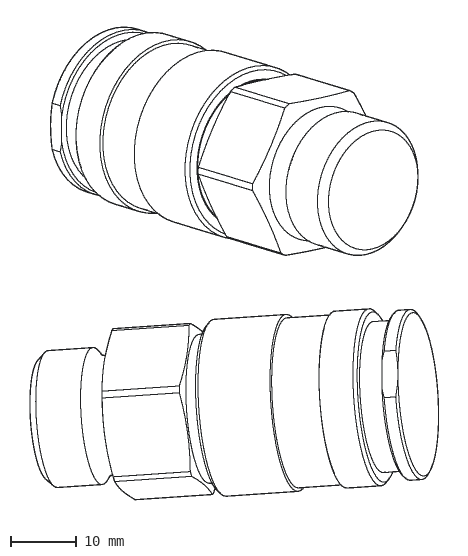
import cadquery as cq
import math


TOTAL_LENGTH = 58.75

FLANGE_DIAMETER = 26.0
FLANGE_LENGTH = 2.5
FLANGE_FRONT_CHAMFER_LENGTH = 0.35
FLANGE_FRONT_CHAMFER_DEPTH = 0.5
FLANGE_REAR_CHAMFER = 0.35
FLANGE_FLAT_WIDTH = 24.95

SHANK_DIAMETER = 23.1
NECK_DIAMETER = 22.8

SLEEVE_START = 6.3
SLEEVE_END = 31.7
SLEEVE_DIAMETER = 27.1
SLEEVE_CHAMFER = 0.5
GROOVE_START = 12.15
GROOVE_END = 19.85
GROOVE_DIAMETER = 26.0
GROOVE_WALL_SLOPE = 0.1

HEX_START = 33.65
HEX_END = 46.75
HEX_ACROSS_FLATS = 23.95
HEX_CORNER_DIAMETER = SLEEVE_DIAMETER
HEX_FACE_DIAMETER = 23.55
HEX_CHAMFER_ANGLE = 15.0
HEX_TURN = 28.0

THREAD_DIAMETER = 21.0
THREAD_START = 50.45
THREAD_START_CHAMFER_LENGTH = 0.4
THREAD_TIP_DIAMETER = 18.7
THREAD_TIP_CHAMFER_LENGTH = 1.25
CONE_START_DIAMETER = THREAD_DIAMETER
CONE_END_DIAMETER = 19.0
UNDERCUT_DIAMETER = 18.35
UNDERCUT_LOWEST = 48.75
UNDERCUT_END_DIAMETER = 20.0


def revolve_about_x(profile):
    """Turn a closed (x, radius) profile through a full circle about the X axis."""
    return profile.close().revolve(360, (0, 0, 0), (1, 0, 0))


def make_flange():
    radius = FLANGE_DIAMETER / 2
    disc = revolve_about_x(
        cq.Workplane("XY")
        .moveTo(0, 0)
        .lineTo(0, radius - FLANGE_FRONT_CHAMFER_DEPTH)
        .lineTo(FLANGE_FRONT_CHAMFER_LENGTH, radius)
        .lineTo(FLANGE_LENGTH - FLANGE_REAR_CHAMFER, radius)
        .lineTo(FLANGE_LENGTH, radius - FLANGE_REAR_CHAMFER)
        .lineTo(FLANGE_LENGTH, 0)
    )
    flats = cq.Workplane("YZ").rect(FLANGE_FLAT_WIDTH, FLANGE_DIAMETER).extrude(FLANGE_LENGTH)
    return disc.intersect(flats)


def make_shank():
    """Shank under the sleeve and the slightly thinner neck up to the hexagon."""
    return revolve_about_x(
        cq.Workplane("XY")
        .moveTo(FLANGE_LENGTH, 0)
        .lineTo(FLANGE_LENGTH, SHANK_DIAMETER / 2)
        .lineTo(SLEEVE_END, SHANK_DIAMETER / 2)
        .lineTo(SLEEVE_END, NECK_DIAMETER / 2)
        .lineTo(HEX_START, NECK_DIAMETER / 2)
        .lineTo(HEX_START, 0)
    )


def make_hexagon():
    """Hexagonal prism with turned corners and conical chamfers at both ends."""
    corner_radius = HEX_CORNER_DIAMETER / 2
    face_radius = HEX_FACE_DIAMETER / 2
    chamfer_length = (corner_radius - face_radius) * math.tan(math.radians(HEX_CHAMFER_ANGLE))
    prism = (
        cq.Workplane("YZ", origin=(HEX_START, 0, 0))
        .polygon(6, HEX_ACROSS_FLATS, circumscribed=True)
        .extrude(HEX_END - HEX_START)
        .rotate((0, 0, 0), (1, 0, 0), HEX_TURN)
    )
    turned_envelope = revolve_about_x(
        cq.Workplane("XY")
        .moveTo(HEX_START, 0)
        .lineTo(HEX_START, face_radius)
        .lineTo(HEX_START + chamfer_length, corner_radius)
        .lineTo(HEX_END - chamfer_length, corner_radius)
        .lineTo(HEX_END, face_radius)
        .lineTo(HEX_END, 0)
    )
    return prism.intersect(turned_envelope)


def make_threaded_end():
    """45 degree cone, rounded undercut and plain thread cylinder with a chamfered tip."""
    thread_radius = THREAD_DIAMETER / 2
    cone_length = (CONE_START_DIAMETER - CONE_END_DIAMETER) / 2
    return revolve_about_x(
        cq.Workplane("XY")
        .moveTo(HEX_END, 0)
        .lineTo(HEX_END, CONE_START_DIAMETER / 2)
        .lineTo(HEX_END + cone_length, CONE_END_DIAMETER / 2)
        .threePointArc(
            (UNDERCUT_LOWEST, UNDERCUT_DIAMETER / 2),
            (THREAD_START - THREAD_START_CHAMFER_LENGTH, UNDERCUT_END_DIAMETER / 2),
        )
        .lineTo(THREAD_START, thread_radius)
        .lineTo(TOTAL_LENGTH - THREAD_TIP_CHAMFER_LENGTH, thread_radius)
        .lineTo(TOTAL_LENGTH, THREAD_TIP_DIAMETER / 2)
        .lineTo(TOTAL_LENGTH, 0)
    )


def make_core():
    return make_flange().union(make_shank()).union(make_hexagon()).union(make_threaded_end())


def make_sleeve():
    """Ring fitting closely on the shank, with chamfered ends and a wide, shallow, slightly tapered groove."""
    bore_radius = SHANK_DIAMETER / 2
    outer_radius = SLEEVE_DIAMETER / 2
    groove_radius = GROOVE_DIAMETER / 2
    return revolve_about_x(
        cq.Workplane("XY")
        .moveTo(SLEEVE_START, bore_radius)
        .lineTo(SLEEVE_START, outer_radius - SLEEVE_CHAMFER)
        .lineTo(SLEEVE_START + SLEEVE_CHAMFER, outer_radius)
        .lineTo(GROOVE_START, outer_radius)
        .lineTo(GROOVE_START + GROOVE_WALL_SLOPE, groove_radius)
        .lineTo(GROOVE_END - GROOVE_WALL_SLOPE, groove_radius)
        .lineTo(GROOVE_END, outer_radius)
        .lineTo(SLEEVE_END - SLEEVE_CHAMFER, outer_radius)
        .lineTo(SLEEVE_END, outer_radius - SLEEVE_CHAMFER)
        .lineTo(SLEEVE_END, bore_radius)
    )


core = make_core()
sleeve = make_sleeve()
result = cq.Compound.makeCompound([core.val(), sleeve.val()])